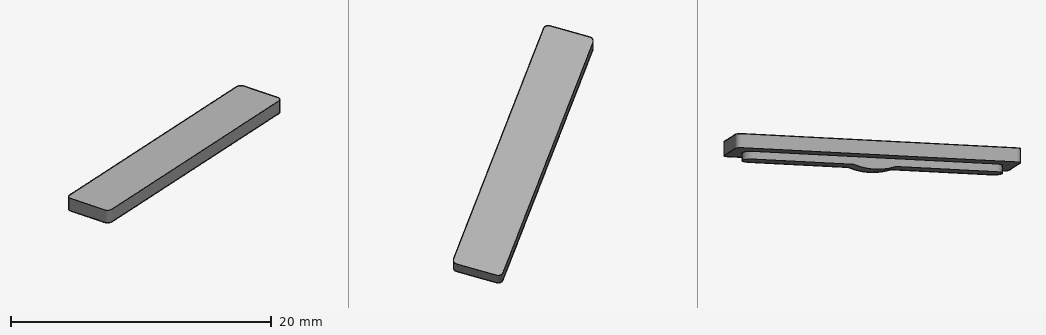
import cadquery as cq
import math

plate_width = 4.0
plate_length = 22.7
plate_thickness = 1.1
plate_corner_radius = 0.4

rib_end_margin = 1.0
rib_length = plate_length - 2 * rib_end_margin
rib_width = 1.45
rib_height = 0.6

bump_height = 0.3
bump_radius = 5.0

rib_bottom = -rib_height
bump_bottom = rib_bottom - bump_height


def make_plate():
    """Flat bar with rounded vertical corners."""
    return (
        cq.Workplane("XY")
        .rect(plate_width, plate_length)
        .extrude(plate_thickness)
        .edges("|Z")
        .fillet(plate_corner_radius)
    )


def make_rib():
    """Straight rib along Y with full-round ends."""
    return (
        cq.Workplane("XY")
        .slot2D(rib_length, rib_width, angle=90)
        .extrude(-rib_height)
    )


def make_bump():
    """Shallow circular swell across the full width of the rib."""
    half_chord = math.sqrt(bump_radius**2 - (bump_radius - bump_height) ** 2)

    return (
        cq.Workplane("YZ")
        .moveTo(-half_chord, 0)
        .lineTo(-half_chord, rib_bottom)
        .threePointArc((0, bump_bottom), (half_chord, rib_bottom))
        .lineTo(half_chord, 0)
        .close()
        .extrude(rib_width / 2, both=True)
    )


result = make_plate().union(make_rib()).union(make_bump()).clean()